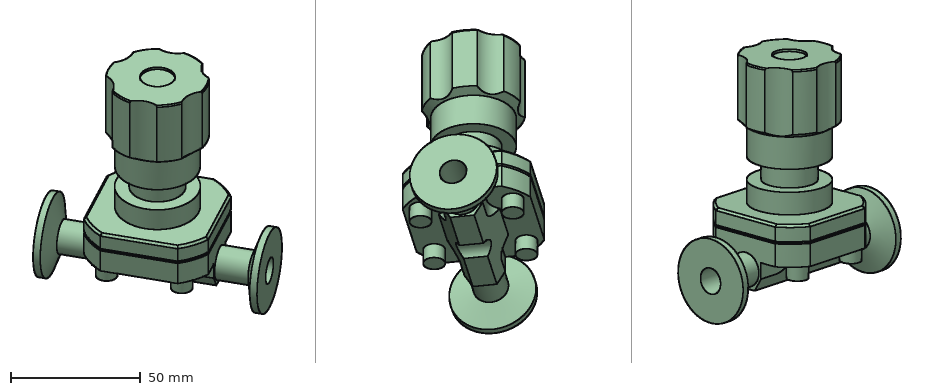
import cadquery as cq
import math

length = 90.0
ferrule_dia = 34.0
rim_thickness = 2.9
cone_length = 3.6
tube_dia = 13.8
bore_dia = 10.5
tube_z = ferrule_dia / 2

body_width = 50.0
corner_radius = 29.4
lower_plate_bottom = 21.4
bonnet_bottom = 30.7
bonnet_top = 38.4
bonnet_chamfer = 1.0

keel_bottom = 9.3
keel_half_width = 4.7
keel_flank_angle = 31.0
arch_radius = 4.9
arch_z = 7.9

pocket_floor = 14.8
pocket_inner_x = 8.4
pocket_radius = 7.8
screw_bottom = 15.1
screw_dia = 8.5
screw_x = 15.1
screw_y = 18.0

collar_dia = 33.0
collar_top = 47.5
neck_dia = 22.0
skirt_bottom = 56.8
knob_bottom = 69.9
knob_top = 98.0
knob_radius = 20.0
knob_cone_height = 2.1
knob_edge_height = 0.7
knob_edge_inset = 0.4
recess_dia = 13.5
recess_depth = 1.0

groove_count = 6
groove_radius = 9.8
groove_floor_radius = 17.5


def cylinder(diameter, bottom, top):
    """Upright cylinder on the Z axis between two heights."""
    return cq.Workplane("XY").workplane(offset=bottom).circle(diameter / 2).extrude(top - bottom)


def body_plate(bottom, top):
    """Square plate whose corners are arcs centred on the Z axis."""
    height = top - bottom
    square = cq.Workplane("XY").workplane(offset=bottom).rect(body_width, body_width).extrude(height)
    return square.intersect(cylinder(2 * corner_radius, bottom, top))


def bonnet():
    plate = body_plate(bonnet_bottom, bonnet_top)
    return plate.faces("<Z or >Z").edges().chamfer(bonnet_chamfer)


def flank_y(z):
    """Half width of the keel at a height."""
    return keel_half_width + (z - keel_bottom) * math.tan(math.radians(keel_flank_angle))


def keel():
    """Wedge along X that widens upwards, with four corner pockets and an arch across its bottom."""
    bottom_y = flank_y(keel_bottom)
    top_y = flank_y(lower_plate_bottom)
    wedge = (
        cq.Workplane("YZ")
        .polyline([
            (-bottom_y, keel_bottom),
            (bottom_y, keel_bottom),
            (top_y, lower_plate_bottom),
            (-top_y, lower_plate_bottom),
        ])
        .close()
        .extrude(body_width / 2, both=True)
    )
    pocket_inner_y = flank_y(pocket_floor)
    pocket_length = body_width - 2 * pocket_inner_x
    pocket_width = body_width - 2 * pocket_inner_y
    pockets = (
        cq.Workplane("XY")
        .workplane(offset=pocket_floor)
        .rect(body_width, body_width, forConstruction=True)
        .vertices()
        .rect(pocket_length, pocket_width)
        .extrude(lower_plate_bottom - pocket_floor)
        .edges("|Z")
        .fillet(pocket_radius)
    )
    arch = (
        cq.Workplane("XZ")
        .center(0, arch_z)
        .circle(arch_radius)
        .extrude(body_width / 2, both=True)
    )
    return wedge.cut(pockets).cut(arch)


def screws():
    return (
        cq.Workplane("XY")
        .workplane(offset=screw_bottom)
        .rect(2 * screw_x, 2 * screw_y, forConstruction=True)
        .vertices()
        .circle(screw_dia / 2)
        .extrude(lower_plate_bottom - screw_bottom)
    )


def ferrule():
    """Tube stub, cone and rim on the -X side, with a blind bore that ends at the body."""
    end_x = -length / 2
    body_x = -body_width / 2
    rim_x = end_x + rim_thickness
    cone_x = rim_x + cone_length
    return (
        cq.Workplane("XZ")
        .polyline([
            (end_x, tube_z + bore_dia / 2),
            (end_x, tube_z + ferrule_dia / 2),
            (rim_x, tube_z + ferrule_dia / 2),
            (cone_x, tube_z + tube_dia / 2),
            (body_x, tube_z + tube_dia / 2),
            (body_x, tube_z + bore_dia / 2),
        ])
        .close()
        .revolve(360, (end_x, tube_z), (body_x, tube_z))
    )


def handwheel():
    """Knob with a coned underside, finger grooves and a shallow recess on top."""
    knob = (
        cq.Workplane("XZ")
        .polyline([
            (0, knob_bottom),
            (collar_dia / 2, knob_bottom),
            (knob_radius, knob_bottom + knob_cone_height),
            (knob_radius, knob_top - knob_edge_height),
            (knob_radius - knob_edge_inset, knob_top),
            (0, knob_top),
        ])
        .close()
        .revolve(360, (0, 0), (0, 1))
    )
    grooves = (
        cq.Workplane("XY")
        .workplane(offset=knob_bottom)
        .polarArray(groove_floor_radius + groove_radius, 90, 360, groove_count)
        .circle(groove_radius)
        .extrude(knob_top - knob_bottom)
    )
    recess = cylinder(recess_dia, knob_top - recess_depth, knob_top)
    return knob.cut(grooves).cut(recess)


left_ferrule = ferrule()
right_ferrule = left_ferrule.mirror("YZ")

result = (
    body_plate(lower_plate_bottom, bonnet_bottom)
    .union(bonnet())
    .union(keel())
    .union(screws())
    .union(left_ferrule)
    .union(right_ferrule)
    .union(cylinder(collar_dia, bonnet_top, collar_top))
    .union(cylinder(neck_dia, collar_top, skirt_bottom))
    .union(cylinder(collar_dia, skirt_bottom, knob_bottom))
    .union(handwheel())
)